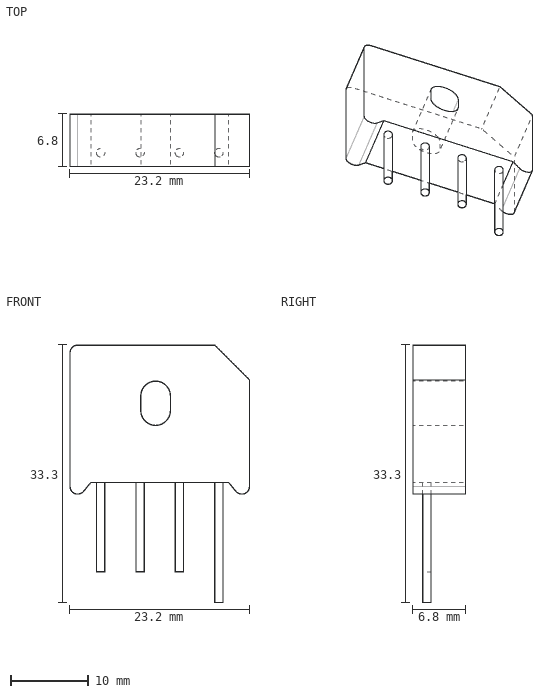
import cadquery as cq
import math

WIDTH = 23.2
DEPTH = 6.8
TOP_Z = 33.3
SEAT_Z = 15.52
FOOT_Z = 14.02
FOOT_INNER = 2.7
CORNER_RADIUS = 1.0
CHAMFER = 4.5

SLOT_WIDTH = 3.8
SLOT_HEIGHT = 5.7
SLOT_X = -0.53
SLOT_Z = 25.77

LEAD_DIAMETER = 1.1
LEAD_PITCH = 5.1
LEAD_COUNT = 4
LEAD_ROW_X = 0.0
LEAD_SETBACK = 1.8
LEAD_Y = -DEPTH / 2 + LEAD_SETBACK
SHORT_LEAD_Z = 4.0
LONG_LEAD_Z = 0.0
LEAD_EMBED = 1.0


def foot_tangent():
    """Point where the foot's inner slope leaves its round tip, as (inset from side, Z)."""
    run = FOOT_INNER - CORNER_RADIUS
    rise = SEAT_Z - (FOOT_Z + CORNER_RADIUS)
    angle = math.atan2(rise, run) - math.acos(CORNER_RADIUS / math.hypot(run, rise))
    inset = CORNER_RADIUS * (1 + math.cos(angle))
    height = FOOT_Z + CORNER_RADIUS * (1 + math.sin(angle))
    return inset, height


def make_body():
    half = WIDTH / 2
    tip_z = FOOT_Z + CORNER_RADIUS
    tangent_inset, tangent_z = foot_tangent()
    outline = (
        cq.Workplane("XZ", origin=(0, DEPTH / 2, 0))
        .moveTo(-half, tip_z)
        .lineTo(-half, TOP_Z - CORNER_RADIUS)
        .tangentArcPoint((-half + CORNER_RADIUS, TOP_Z), relative=False)
        .lineTo(half - CHAMFER, TOP_Z)
        .lineTo(half, TOP_Z - CHAMFER)
        .lineTo(half, tip_z)
        .threePointArc((half - CORNER_RADIUS, FOOT_Z), (half - tangent_inset, tangent_z))
        .lineTo(half - FOOT_INNER, SEAT_Z)
        .lineTo(-half + FOOT_INNER, SEAT_Z)
        .lineTo(-half + tangent_inset, tangent_z)
        .threePointArc((-half + CORNER_RADIUS, FOOT_Z), (-half, tip_z))
        .close()
    )
    return outline.extrude(DEPTH)


def make_slot():
    return (
        cq.Workplane("XZ", origin=(0, DEPTH / 2, 0))
        .center(SLOT_X, SLOT_Z)
        .slot2D(SLOT_HEIGHT, SLOT_WIDTH, 90)
        .extrude(DEPTH)
    )


def make_lead(x, tip_z):
    return (
        cq.Workplane("XY", origin=(x, LEAD_Y, tip_z))
        .circle(LEAD_DIAMETER / 2)
        .extrude(SEAT_Z + LEAD_EMBED - tip_z)
    )


result = make_body().cut(make_slot())
for index in range(LEAD_COUNT):
    lead_x = LEAD_ROW_X + (index - (LEAD_COUNT - 1) / 2) * LEAD_PITCH
    lead_tip = LONG_LEAD_Z if index == LEAD_COUNT - 1 else SHORT_LEAD_Z
    result = result.union(make_lead(lead_x, lead_tip))